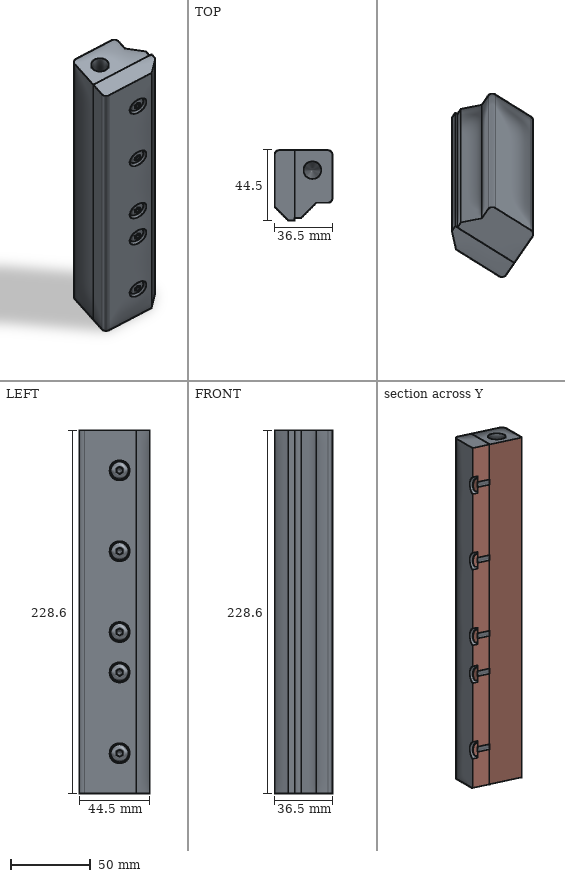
import cadquery as cq
import math

total_width = 36.51
total_depth = 44.45
total_length = 228.6

plate_thickness = 12.7
plate_bevel = 8.73
corner_radius = 3.175

block_bottom_setback = 0.05
block_front_setback = 1.59
block_nose_width = 3.97
block_step = 9.525

end_hole_diameter = 11.11
end_hole_depth = 38.1
end_hole_from_back = 12.7
end_hole_from_side = 12.7
drill_point_angle = 118.0

screw_from_back = 25.4
screw_distances = [25.4, 76.2, 127.0, 152.4, 203.2]
shank_diameter = 6.35
screw_length = 25.4
head_diameter = 11.1
head_height = 3.35
head_rim_height = 0.8
head_top_diameter = 4.76
socket_sides = 6
socket_turn = 30.0
socket_across_flats = 3.97
socket_depth = 1.8
counterbore_diameter = 12.7
counterbore_depth = 3.97
clearance_diameter = 7.14

end_hole_x = total_width - end_hole_from_side
end_hole_y = total_depth - end_hole_from_back
screw_y = total_depth - screw_from_back
head_seat_x = counterbore_depth
screw_tip_x = head_seat_x + screw_length
screw_heights = [total_length - distance for distance in screw_distances]


def drill_point_height(radius):
    """Height of the cone that a drill leaves at the bottom of a hole."""
    return radius / math.tan(math.radians(drill_point_angle / 2))


def cylinder_along_x(diameter, start_x, end_x, height):
    """Cylinder on a screw axis, from start_x to end_x."""
    start = cq.Vector(start_x, screw_y, height)
    return cq.Workplane(cq.Solid.makeCylinder(diameter / 2, end_x - start_x, start, cq.Vector(1, 0, 0)))


def make_plate():
    """Plate with a rounded back corner, a beveled front corner and counterbored screw holes."""
    plate = (
        cq.Workplane("XY")
        .moveTo(plate_bevel, 0)
        .lineTo(plate_thickness, 0)
        .lineTo(plate_thickness, total_depth)
        .lineTo(0, total_depth)
        .lineTo(0, plate_bevel)
        .close()
        .extrude(total_length)
        .edges("|Z and <X and >Y")
        .fillet(corner_radius)
    )
    for height in screw_heights:
        plate = plate.cut(cylinder_along_x(counterbore_diameter, 0, counterbore_depth, height))
        plate = plate.cut(cylinder_along_x(clearance_diameter, counterbore_depth, plate_thickness, height))
    return plate


def make_end_hole():
    """Blind hole with a conical drill point, as a body to cut away."""
    radius = end_hole_diameter / 2
    floor_z = total_length - end_hole_depth
    return (
        cq.Workplane("XZ", origin=(end_hole_x, end_hole_y, 0))
        .moveTo(0, floor_z - drill_point_height(radius))
        .lineTo(radius, floor_z)
        .lineTo(radius, total_length)
        .lineTo(0, total_length)
        .close()
        .revolve(360, (0, 0), (0, 1))
    )


def make_block():
    """Stepped block with the blind end hole and a hole for each screw shank."""
    nose_x = plate_thickness + block_nose_width
    step_y = block_front_setback + block_step
    block = (
        cq.Workplane("XY", origin=(0, 0, block_bottom_setback))
        .moveTo(plate_thickness, block_front_setback)
        .lineTo(nose_x, block_front_setback)
        .lineTo(nose_x + block_step, step_y)
        .lineTo(total_width, step_y)
        .lineTo(total_width, total_depth)
        .lineTo(plate_thickness, total_depth)
        .close()
        .extrude(total_length - block_bottom_setback)
        .edges("|Z and >X")
        .fillet(corner_radius)
    )
    block = block.cut(make_end_hole())
    for height in screw_heights:
        block = block.cut(cylinder_along_x(shank_diameter, plate_thickness, screw_tip_x, height))
    return block


def make_screw(height):
    """Button-head screw along +X with a domed head and a drill-pointed hex socket."""
    head_top_x = head_seat_x - head_height
    rim_x = head_seat_x - head_rim_height
    head_radius = head_diameter / 2
    top_radius = head_top_diameter / 2
    dome_height = rim_x - head_top_x
    dome_reach = head_radius - top_radius
    dome_radius = (dome_height**2 + dome_reach**2) / (2 * dome_reach)
    half_sweep = math.atan2(dome_reach, dome_height)
    dome_middle_x = rim_x - dome_radius * math.sin(half_sweep)
    dome_middle_radius = head_radius - dome_radius * (1 - math.cos(half_sweep))
    body = (
        cq.Workplane("XY", origin=(0, screw_y, height))
        .moveTo(head_top_x, 0)
        .lineTo(head_top_x, top_radius)
        .threePointArc((dome_middle_x, dome_middle_radius), (rim_x, head_radius))
        .lineTo(head_seat_x, head_radius)
        .lineTo(head_seat_x, shank_diameter / 2)
        .lineTo(screw_tip_x, shank_diameter / 2)
        .lineTo(screw_tip_x, 0)
        .close()
        .revolve(360, (0, 0), (1, 0))
    )
    socket_corner_radius = socket_across_flats / 2 / math.cos(math.pi / socket_sides)
    socket = (
        cq.Workplane("YZ", origin=(head_top_x, screw_y, height))
        .transformed(rotate=(0, 0, socket_turn))
        .polygon(socket_sides, 2 * socket_corner_radius)
        .extrude(socket_depth)
    )
    socket_pilot_radius = socket_across_flats / 2
    socket_point = cq.Solid.makeCone(
        socket_pilot_radius,
        0,
        drill_point_height(socket_pilot_radius),
        cq.Vector(head_top_x + socket_depth, screw_y, height),
        cq.Vector(1, 0, 0),
    )
    return body.cut(socket).cut(cq.Workplane(socket_point))


plate = make_plate()
block = make_block()
screws = [make_screw(height) for height in screw_heights]

result = cq.Compound.makeCompound([plate.val(), block.val(), *[screw.val() for screw in screws]])